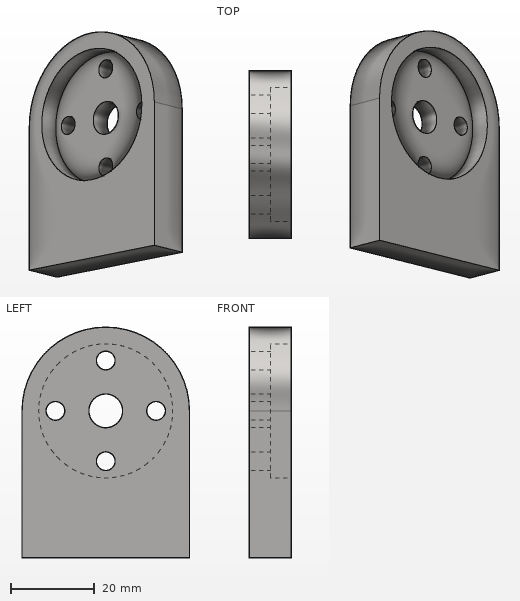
import cadquery as cq

height = 55.1
width = 40.0
thickness = 10.0
bore_diameter = 8.0
bolt_hole_diameter = 4.4
bolt_circle_radius = 12.0
bolt_hole_count = 4
recess_diameter = 32.0
recess_depth = thickness / 2

top_radius = width / 2
straight_height = height - top_radius


def plate():
    """Upright plate with a half-round top, standing on Z = 0 and centred on X and Y."""
    return (
        cq.Workplane("YZ")
        .moveTo(-top_radius, 0)
        .lineTo(top_radius, 0)
        .lineTo(top_radius, straight_height)
        .threePointArc((0, height), (-top_radius, straight_height))
        .close()
        .extrude(thickness / 2, both=True)
    )


def through_holes():
    """Central bore and the ring of bolt holes around it."""
    centre_plane = cq.Workplane("YZ", origin=(0, 0, straight_height))
    bore = centre_plane.circle(bore_diameter / 2).extrude(thickness, both=True)
    bolt_holes = (
        centre_plane.polarArray(bolt_circle_radius, 0, 360, bolt_hole_count)
        .circle(bolt_hole_diameter / 2)
        .extrude(thickness, both=True)
    )
    return bore.add(bolt_holes).combine()


def back_recess():
    """Round pocket sunk into the +X face, concentric with the bore."""
    return (
        cq.Workplane("YZ", origin=(thickness / 2 - recess_depth, 0, straight_height))
        .circle(recess_diameter / 2)
        .extrude(recess_depth)
    )


result = plate().cut(through_holes()).cut(back_recess())